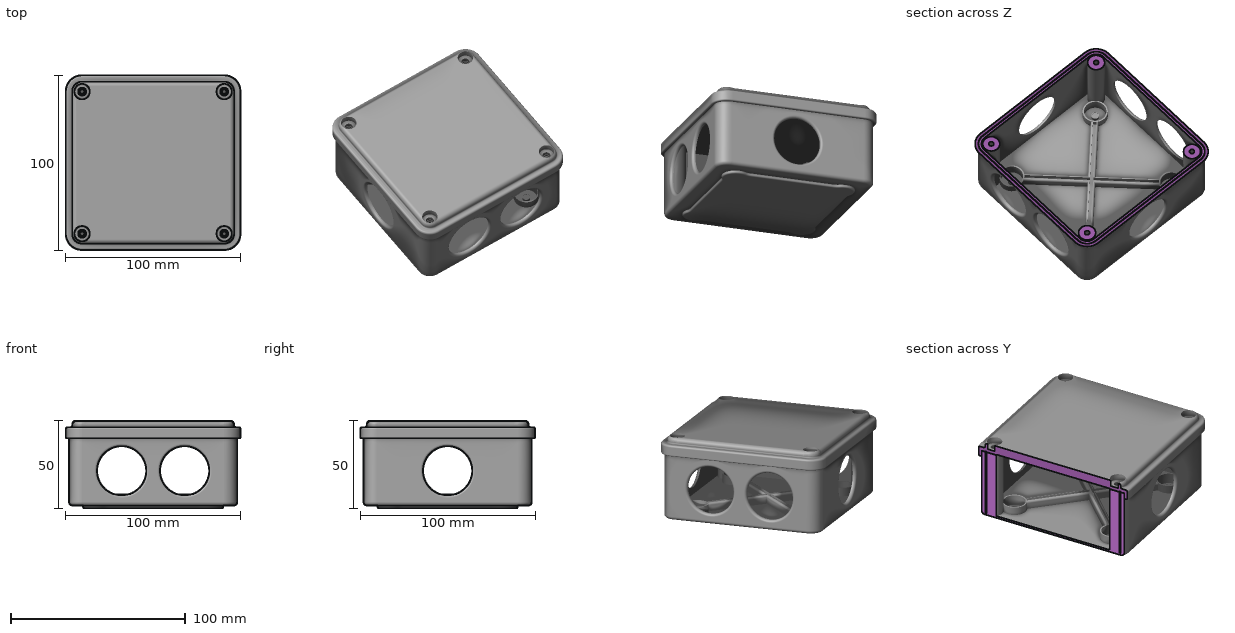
import cadquery as cq
LID_SIDE = 100.0
LID_CORNER_RADIUS = 9.4
TOTAL_HEIGHT = 50.0
RIM_BOTTOM = 40.0
RIM_TOP = 46.5
RIM_TOP_FILLET = 1.2
RIM_BOTTOM_FILLET = 0.8
PANEL_INSET = 3.7
PANEL_FILLET = 2.5
PANEL_COVE = 0.8
SELECTION_MARGIN = 0.1

BOX_INSET = 1.9
BOX_TOP = 44.0
BOX_BOTTOM_FILLET = 2.0
WALL = 2.0
FLOOR_THICKNESS = 1.6

FOOT_SIDE = 76.6
FOOT_HEIGHT = 1.6
FOOT_LOBE_RADIUS = 7.8
FOOT_LOBE_BLEND = 7.0
FOOT_FILLET = 1.0

ENTRY_RADIUS = 14.0
ENTRY_FILLET = 1.5
ENTRY_HEIGHT = 21.5
ENTRY_SPACING = 36.0

COUNTERBORE_RADIUS = 4.4
COUNTERBORE_FLOOR = 46.2
SCREW_HOLE_RADIUS = 2.3
LEAD_IN_RADIUS = 1.9
LEAD_IN_DEPTH = 1.0
PILOT_RADIUS = 1.3
PILOT_DEPTH = 12.0
POST_RADIUS = 5.0

CUP_OFFSET = 32.3
CUP_RADIUS = 7.2
CUP_WALL = 0.8
CUP_FLOOR = 1.8
NUB_RADIUS = 2.2
NUB_TOP = 3.7
NUB_WALL = 0.3
NUB_RECESS = 0.2
RIB_WIDTH = 4.4
RIB_TOP = 8.1
RIB_FILLET = 1.2
RIB_GROOVE_WIDTH = 2.0
RIB_GROOVE_DEPTH = 2.5

box_side = LID_SIDE - 2 * BOX_INSET
box_corner_radius = LID_CORNER_RADIUS - BOX_INSET
panel_side = LID_SIDE - 2 * PANEL_INSET
panel_corner_radius = LID_CORNER_RADIUS - PANEL_INSET
cavity_side = box_side - 2 * WALL
floor_top = FOOT_HEIGHT + FLOOR_THICKNESS
screw_offset = LID_SIDE / 2 - LID_CORNER_RADIUS


def corner_points(offset):
    """The four XY points at the given distance from both the X and the Y axis."""
    return [(x, y) for x in (-offset, offset) for y in (-offset, offset)]


screw_points = corner_points(screw_offset)
cup_points = corner_points(CUP_OFFSET)


def rounded_block(side, corner_radius, bottom, top):
    """Square block with rounded upright edges, centred on the Z axis."""
    block = cq.Workplane("XY", origin=(0, 0, bottom)).rect(side, side).extrude(top - bottom)
    return block.edges("|Z").fillet(corner_radius)


def cylinders(points, radius, bottom, top):
    """Upright cylinders at the given XY points."""
    return cq.Workplane("XY", origin=(0, 0, bottom)).pushPoints(points).circle(radius).extrude(top - bottom)


def entry_cutter(along_y, offset):
    """Cutter for a pair of cable entries in opposite walls, flared to round their outer edges."""
    face = box_side / 2
    throat = face - ENTRY_FILLET
    mouth_radius = ENTRY_RADIUS + ENTRY_FILLET
    bend = ENTRY_FILLET * (1 - 0.5**0.5)
    half_profile = (
        cq.Workplane("XY")
        .lineTo(ENTRY_RADIUS, 0)
        .lineTo(ENTRY_RADIUS, throat)
        .threePointArc((ENTRY_RADIUS + bend, face - bend), (mouth_radius, face))
        .lineTo(0, face)
        .close()
    )
    half = half_profile.revolve(360, (0, 0, 0), (0, 1, 0))
    cutter = half.union(half.mirror("XZ")).translate((offset, 0, ENTRY_HEIGHT))
    return cutter if along_y else cutter.rotate((0, 0, 0), (0, 0, 1), 90)


def make_foot():
    """Cross-shaped pad with a lobe in each corner, blended into its sides and rounded underneath."""
    core_side = 2 * CUP_OFFSET
    foot = cq.Workplane("XY").rect(FOOT_SIDE, core_side).extrude(FOOT_HEIGHT)
    foot = foot.union(cq.Workplane("XY").rect(core_side, FOOT_SIDE).extrude(FOOT_HEIGHT))
    foot = foot.union(cylinders(cup_points, FOOT_LOBE_RADIUS, 0, FOOT_HEIGHT)).clean()
    foot = foot.edges("|Z").fillet(FOOT_LOBE_BLEND)
    return foot.faces("<Z").edges().fillet(FOOT_FILLET)


def diagonal_bars(width, bottom, top, top_fillet=0):
    """Two bars that cross on the floor, each running between opposite cups."""
    length = 2 * CUP_OFFSET * 2**0.5
    bar = cq.Workplane("XY", origin=(0, 0, bottom)).rect(length, width).extrude(top - bottom)
    if top_fillet:
        bar = bar.edges("|X and >Z").fillet(top_fillet)
    return [bar.rotate((0, 0, 0), (0, 0, 1), angle) for angle in (-45, 45)]


def make_box():
    shell = rounded_block(box_side, box_corner_radius, FOOT_HEIGHT, BOX_TOP)
    shell = shell.faces("<Z").edges().fillet(BOX_BOTTOM_FILLET)
    cavity = rounded_block(cavity_side, box_corner_radius - WALL, floor_top, BOX_TOP)
    box = shell.cut(cavity).union(make_foot())

    for offset in (-ENTRY_SPACING / 2, ENTRY_SPACING / 2):
        box = box.cut(entry_cutter(True, offset))
    box = box.cut(entry_cutter(False, 0))

    box = box.union(cylinders(screw_points, POST_RADIUS, floor_top, BOX_TOP))

    for bar in diagonal_bars(RIB_WIDTH, FOOT_HEIGHT, RIB_TOP, RIB_FILLET):
        box = box.union(bar)
    for groove in diagonal_bars(RIB_GROOVE_WIDTH, RIB_TOP - RIB_GROOVE_DEPTH, RIB_TOP):
        box = box.cut(groove)
    box = box.union(cylinders(cup_points, CUP_RADIUS, FOOT_HEIGHT, RIB_TOP))
    box = box.cut(cylinders(cup_points, CUP_RADIUS - CUP_WALL, CUP_FLOOR, RIB_TOP))
    box = box.union(cylinders(cup_points, NUB_RADIUS, FOOT_HEIGHT, NUB_TOP))
    box = box.cut(cylinders(cup_points, NUB_RADIUS - NUB_WALL, NUB_TOP - NUB_RECESS, NUB_TOP))
    box = box.cut(cylinders(screw_points, PILOT_RADIUS, BOX_TOP - PILOT_DEPTH, BOX_TOP))
    box = box.cut(cylinders(screw_points, LEAD_IN_RADIUS, BOX_TOP - LEAD_IN_DEPTH, BOX_TOP))
    return box


def make_lid():
    rim = rounded_block(LID_SIDE, LID_CORNER_RADIUS, RIM_BOTTOM, RIM_TOP)
    rim = rim.faces(">Z").edges().fillet(RIM_TOP_FILLET)
    rim = rim.faces("<Z").edges().fillet(RIM_BOTTOM_FILLET)

    panel = rounded_block(panel_side, panel_corner_radius, RIM_TOP, TOTAL_HEIGHT)
    panel = panel.cut(cylinders(screw_points, COUNTERBORE_RADIUS, COUNTERBORE_FLOOR, TOTAL_HEIGHT))
    panel_outline = panel.faces(">Z").val().outerWire().Edges()
    panel = panel.newObject(panel_outline).fillet(PANEL_FILLET)

    lid = rim.union(panel)
    reach = panel_side / 2 + SELECTION_MARGIN
    seam_zone = cq.selectors.BoxSelector(
        (-reach, -reach, RIM_TOP - SELECTION_MARGIN), (reach, reach, RIM_TOP + SELECTION_MARGIN)
    )
    lid = lid.edges(seam_zone).fillet(PANEL_COVE)

    lid = lid.cut(rounded_block(box_side, box_corner_radius, RIM_BOTTOM, BOX_TOP))
    lid = lid.cut(cylinders(screw_points, COUNTERBORE_RADIUS, COUNTERBORE_FLOOR, TOTAL_HEIGHT))
    lid = lid.cut(cylinders(screw_points, SCREW_HOLE_RADIUS, BOX_TOP, COUNTERBORE_FLOOR))
    return lid


box = make_box()
lid = make_lid()
result = cq.Compound.makeCompound([box.val(), lid.val()])